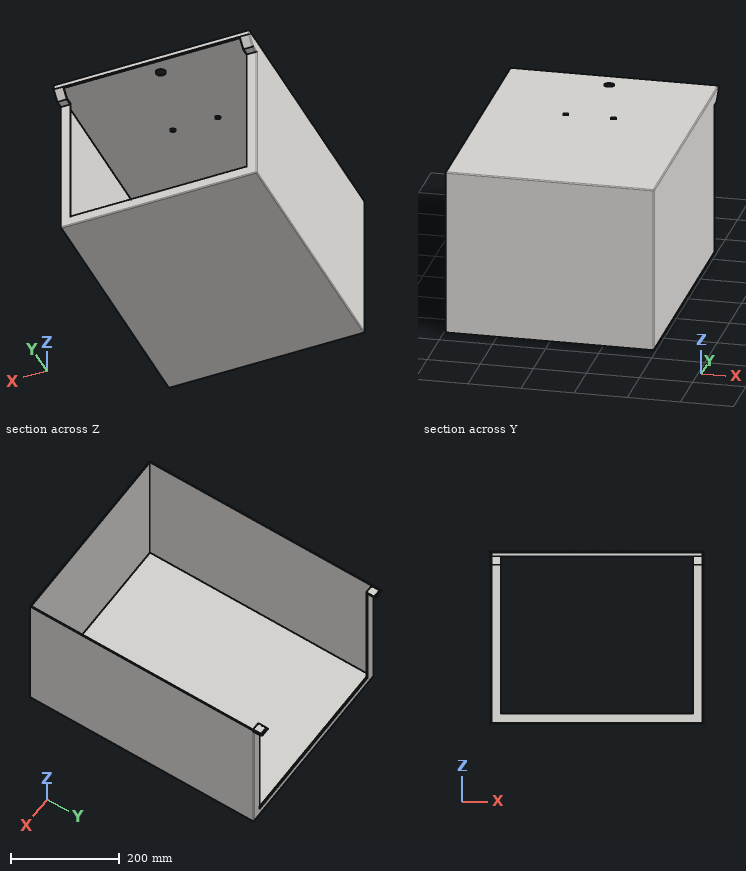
import cadquery as cq

width = 393.0
length = 530.0
height = 318.0

sheet = 3.0
edge_radius = 2.0

overhang = 33.0
overhang_height = 28.0
rear_edge_height = 11.0
overhang_flat_length = 16.0

flange_width = 20.0

hang_hole_diameter = 18.5
hang_hole_from_rear = 43.3
screw_hole_diameter = 10.0
screw_hole_spacing = 90.0
screw_hole_from_rear = 202.3

front_y = -length / 2
rear_y = length / 2
body_rear_y = rear_y - overhang
bottom_z = -height / 2
top_z = height / 2
overhang_bottom_z = top_z - overhang_height
rear_edge_z = top_z - rear_edge_height


def side_profile():
    """Closed outline of the hood in the YZ plane, including the rear overhang."""
    outline = [
        (front_y, bottom_z),
        (body_rear_y, bottom_z),
        (body_rear_y, overhang_bottom_z),
        (body_rear_y + overhang_flat_length, overhang_bottom_z),
        (rear_y, rear_edge_z),
        (rear_y, top_z),
        (front_y, top_z),
    ]
    return cq.Workplane("YZ").polyline(outline).close()


def outer_block():
    """Solid hood with rounded outer edges."""
    block = side_profile().extrude(width / 2, both=True)
    return block.faces("<X or >X or <Y or >Z or <Z").edges().fillet(edge_radius)


def inner_cavity():
    """Space inside the hood, one sheet thickness in from every outer face."""
    return side_profile().offset2D(-sheet, "intersection").extrude(width / 2 - sheet, both=True)


def rear_opening():
    """Cutter for the rear opening, leaving flanges at the sides, bottom and top."""
    opening_bottom_z = bottom_z + flange_width
    opening = cq.Workplane("XY").box(
        width - 2 * flange_width,
        overhang + sheet,
        rear_edge_z - opening_bottom_z,
        centered=(True, False, False),
    )
    return opening.translate((0, body_rear_y - sheet, opening_bottom_z))


def top_hole(x, distance_from_rear, diameter):
    """Cutter for a hole through the top panel only."""
    return (
        cq.Workplane("XY", origin=(x, rear_y - distance_from_rear, top_z - sheet))
        .circle(diameter / 2)
        .extrude(sheet)
    )


result = outer_block().cut(inner_cavity()).cut(rear_opening())
result = result.cut(top_hole(0, hang_hole_from_rear, hang_hole_diameter))
for side in (-1, 1):
    screw_hole_x = side * screw_hole_spacing / 2
    result = result.cut(top_hole(screw_hole_x, screw_hole_from_rear, screw_hole_diameter))